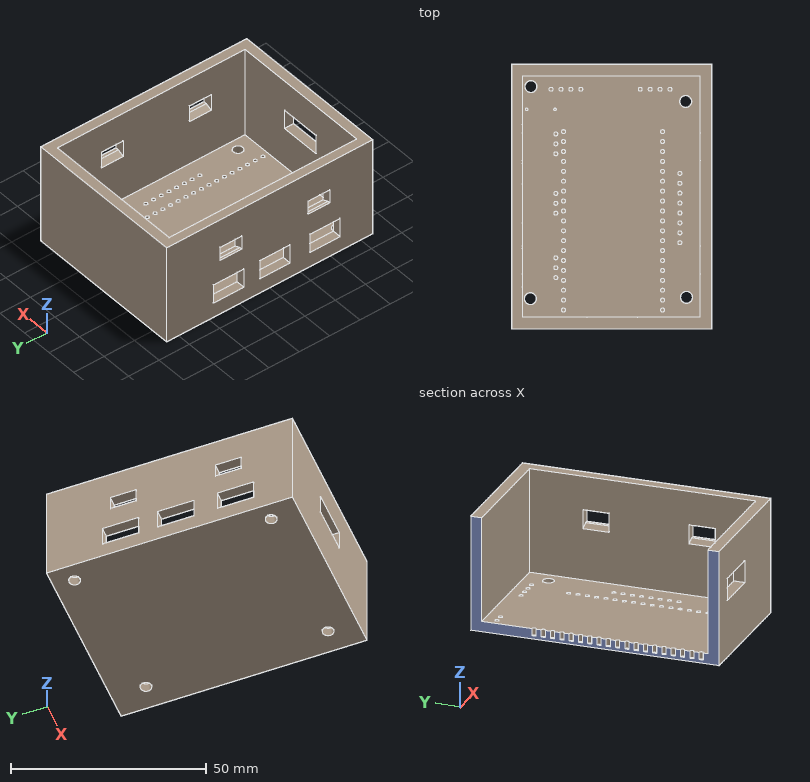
import cadquery as cq

length_x = 51.3
length_y = 67.9
height = 31.7
wall = 3.05
left_wall = 2.8
floor = 3.0

controller_count = 19
controller_row_length = 45.7
pin_pitch = controller_row_length / (controller_count - 1)
pin_diameter = 1.0
pin_depth = 2.0
lead_diameter = 0.66

back_row_y = 61.45
back_row_left_x = 10.1
back_row_pitches_apart = 9
back_row_right_x = back_row_left_x + back_row_pitches_apart * pin_pitch
back_row_count = 4

controller_front_y = 4.9
controller_left_x = 13.3
controller_pitches_apart = 10
controller_right_x = controller_left_x + controller_pitches_apart * pin_pitch

right_header_x = 43.1
right_header_front_y = 22.15
right_header_count = 8

connector_x = 11.35
connector_count = 3
connector_back_y = 47.45
back_connector_pitches = 6
front_connector_pitches = 6.5
connector_middle_y = connector_back_y - back_connector_pitches * pin_pitch
connector_front_y = connector_middle_y - front_connector_pitches * pin_pitch
connector_centers_y = [connector_front_y, connector_middle_y, connector_back_y]

lead_y = 56.3
lead_centers = [(3.9, lead_y), (11.15, lead_y)]

mount_diameter = 3.0
mount_centers = [(4.95, 62.1), (44.6, 58.3), (4.8, 7.8), (44.8, 8.15)]

connector_window_width = 10.0
connector_window_height = 6.1
connector_window_bottom = 4.8

side_window_width = 7.1
side_window_height = 4.35
side_window_bottom = 18.05
side_window_centers_y = [17.7, 46.7]
sill_slope_length = 2.05
sill_drop = 0.9

front_window_width = 12.8
front_window_height = 6.1
front_window_bottom = 15.75
front_window_center_x = 25.8


def corner_box(size_x, size_y, size_z, corner):
    """Box that grows from its lower front left corner."""
    return cq.Workplane("XY").box(size_x, size_y, size_z, centered=False).translate(corner)


def row_x(start_x, y, count):
    """Pin centers stepping along X from start_x."""
    return [(start_x + i * pin_pitch, y) for i in range(count)]


def row_y(x, start_y, count):
    """Pin centers stepping along Y from start_y."""
    return [(x, start_y + i * pin_pitch) for i in range(count)]


def floor_holes(centers, diameter, depth):
    """Cylinders reaching down from the floor surface."""
    surface = cq.Workplane("XY").workplane(offset=floor)
    return surface.pushPoints(centers).circle(diameter / 2).extrude(-depth)


def connector_window(center_y):
    """Cutter for a plain window through the left wall."""
    corner = (0, center_y - connector_window_width / 2, connector_window_bottom)
    return corner_box(left_wall, connector_window_width, connector_window_height, corner)


def side_window(center_y):
    """Cutter through both side walls; each sill is flat outside and slopes down toward the cavity."""
    top = side_window_bottom + side_window_height
    inner_bottom = side_window_bottom - sill_drop
    outline = [
        (0, top),
        (0, side_window_bottom),
        (left_wall - sill_slope_length, side_window_bottom),
        (left_wall, inner_bottom),
        (length_x - wall, inner_bottom),
        (length_x - wall + sill_slope_length, side_window_bottom),
        (length_x, side_window_bottom),
        (length_x, top),
    ]
    profile = cq.Workplane("XZ", origin=(0, center_y, 0)).polyline(outline).close()
    return profile.extrude(side_window_width / 2, both=True)


cavity = corner_box(
    length_x - left_wall - wall,
    length_y - 2 * wall,
    height - floor,
    (left_wall, wall, floor),
)
body = corner_box(length_x, length_y, height, (0, 0, 0)).cut(cavity)

pin_centers = row_x(back_row_left_x, back_row_y, back_row_count)
pin_centers += row_x(back_row_right_x, back_row_y, back_row_count)
pin_centers += row_y(controller_left_x, controller_front_y, controller_count)
pin_centers += row_y(controller_right_x, controller_front_y, controller_count)
pin_centers += row_y(right_header_x, right_header_front_y, right_header_count)
for center_y in connector_centers_y:
    pin_centers += row_y(connector_x, center_y - pin_pitch, connector_count)

body = body.cut(floor_holes(pin_centers, pin_diameter, pin_depth))
body = body.cut(floor_holes(lead_centers, lead_diameter, pin_depth))
body = body.cut(floor_holes(mount_centers, mount_diameter, floor))

for center_y in connector_centers_y:
    body = body.cut(connector_window(center_y))

for center_y in side_window_centers_y:
    body = body.cut(side_window(center_y))

front_window_left_x = front_window_center_x - front_window_width / 2
body = body.cut(
    corner_box(front_window_width, wall, front_window_height, (front_window_left_x, 0, front_window_bottom))
)

result = body